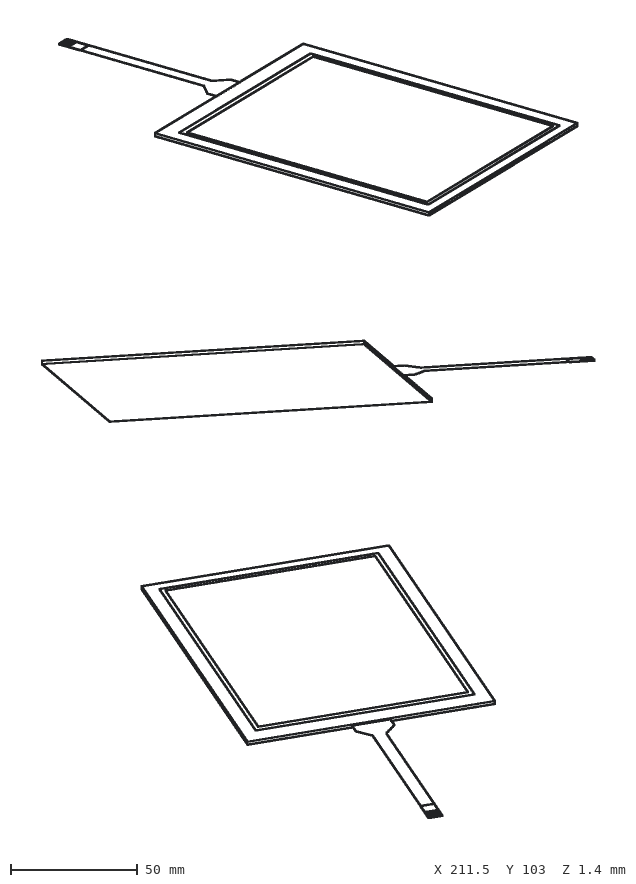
import cadquery as cq

overall_length = 211.5
panel_length = 131.7
panel_width = 103.0
panel_thickness = 1.4
panel_left = overall_length - panel_length

groove_margin_left = 7.6
groove_margin_right = 4.5
groove_margin_side = 6.0
groove_width_left = 2.5
groove_width = 2.0
groove_depth = 0.06

tail_thickness = 0.13
tail_bottom = 0.8
tail_width = 5.7
tail_flare_start = 69.5
tail_flare_end = 74.8
tail_root_width = 16.0
tail_overlap = 1.0

stiffener_length = 10.1
stiffener_thickness = 0.13
contact_count = 4
contact_length = 4.7
contact_width = 0.6
contact_pitch = 1.3
contact_height = 0.05


def block(x_start, x_end, width, z_start, height, centre_y=0.0):
    """Make a box from its X limits, Y width and centre, and Z base and height."""
    length = x_end - x_start
    base = cq.Workplane("XY", origin=(x_start, centre_y, z_start))
    return base.box(length, width, height, centered=(False, True, False))


def make_panel():
    """Make the plate with the groove framing its active area."""
    plate = block(panel_left, overall_length, panel_width, 0, panel_thickness)
    groove_left = panel_left + groove_margin_left
    groove_right = overall_length - groove_margin_right
    groove_outer_width = panel_width - 2 * groove_margin_side
    groove_floor = panel_thickness - groove_depth
    outer = block(groove_left, groove_right, groove_outer_width, groove_floor, groove_depth)
    inner = block(
        groove_left + groove_width_left,
        groove_right - groove_width,
        groove_outer_width - 2 * groove_width,
        groove_floor,
        groove_depth,
    )
    return plate.cut(outer.cut(inner))


def make_tail():
    """Make the ribbon that flares out where it enters the panel."""
    upper_edge = [
        (0, tail_width / 2),
        (tail_flare_start, tail_width / 2),
        (tail_flare_end, tail_root_width / 2),
        (panel_left + tail_overlap, tail_root_width / 2),
    ]
    lower_edge = [(x, -y) for x, y in reversed(upper_edge)]
    sketch_plane = cq.Workplane("XY", origin=(0, 0, tail_bottom))
    return sketch_plane.polyline(upper_edge + lower_edge).close().extrude(tail_thickness)


def make_contact(index):
    """Make one raised contact strip of the row at the tail tip."""
    contact_y = (index - (contact_count - 1) / 2) * contact_pitch
    contact_base = tail_bottom + tail_thickness
    return block(0, contact_length, contact_width, contact_base, contact_height, contact_y)


def make_stiffener():
    """Make the backing strip under the tail tip."""
    stiffener_bottom = tail_bottom - stiffener_thickness
    return block(0, stiffener_length, tail_width, stiffener_bottom, stiffener_thickness)


result = make_panel().union(make_tail()).union(make_stiffener())
for contact_index in range(contact_count):
    result = result.union(make_contact(contact_index))